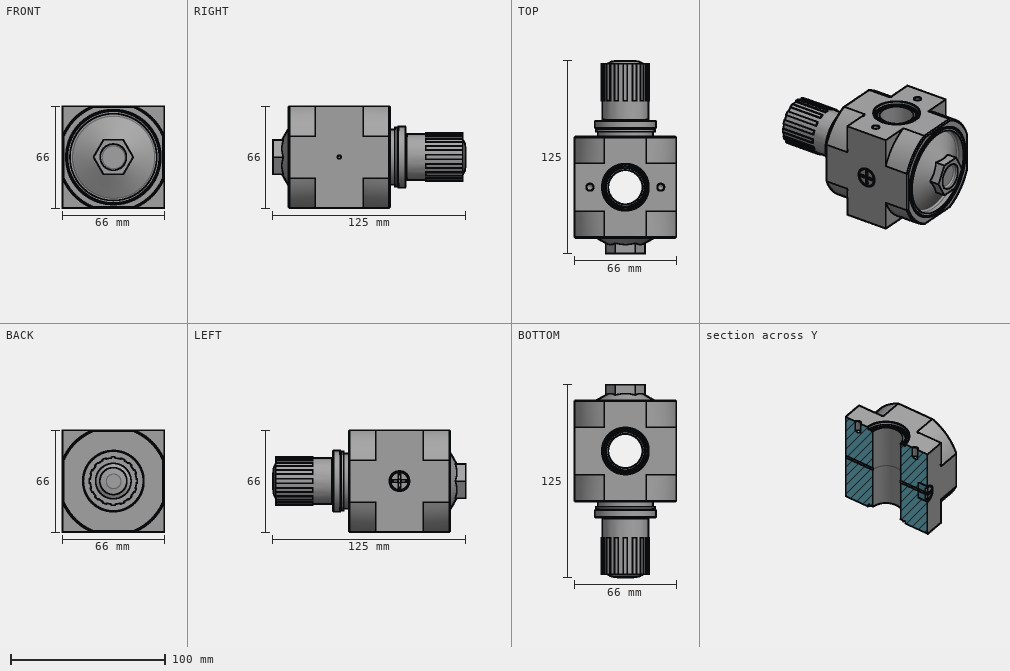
import cadquery as cq
import math


BLOCK_SIZE = 66.0
HALF_BLOCK = BLOCK_SIZE / 2
FRONT_FACE_Y = -HALF_BLOCK
FLAT_WIDTH = 27.2
CORNER_RADIUS = math.hypot(HALF_BLOCK, FLAT_WIDTH / 2)
CROSS_WIDTH = 30.9
BLOCK_CHAMFER = 0.9

DISH_MOUTH_DIA = 61.6
LIP_VALLEY_DIA = 60.6
LIP_VALLEY_DEPTH = 0.6
LIP_OUTER_DIA = 59.5
DISH_DIA = 56.2
DISH_DEPTH = 5.5
DISH_FILLET = 1.0
CONE_SLOPE = 0.57
HEX_FLATS = 22.2
HEX_END_Y = -43.0
HEX_BORE_DIA = 17.0
HEX_BORE_DEPTH = 3.1
HEX_BORE_FILLET = 1.1

BONNET_NECK_DIA = 36.0
COLLAR_DIA = 38.5
COLLAR_START_Y = 36.0
COLLAR_END_Y = 37.6
RING_DIA = 39.8
RING_START_Y = 38.4
RING_END_Y = 43.1
RING_GROOVE_DIA = 34.4
RING_CHAMFER = 0.5

PORT_MOUTH_DIA = 30.6
PORT_WALL_DIA = 30.0
PORT_VALLEY_DIA = 29.0
PORT_VALLEY_DEPTH = 2.0
PORT_CREST_DIA = 26.9
PORT_CREST_DEPTH = 1.1
PORT_SEAT_DIA = 24.9
PORT_BORE_DIA = 22.0
PORT_SEAT_DEPTH = 1.8

SCREW_HOLE_MOUTH_DIA = 4.9
SCREW_HOLE_DIA = 4.2
SCREW_HOLE_SPACING = 45.9
SCREW_HOLE_DEPTH = 7.5
DRILL_POINT_ANGLE = 118.0

SOCKET_MOUTH_DIA = 13.1
PLUG_DIA = 12.2
PLUG_FACE_DIA = 11.5
PLUG_LENGTH = 7.5
VENT_DIA = 2.0
DRIVE_LENGTH = 9.5
DRIVE_FLOOR_LENGTH = 8.0
DRIVE_WIDTH = 1.5
DRIVE_DEPTH = 1.9

KNOB_DIA = 30.0
RIB_DIA = 31.2
RIB_WIDTH = 2.8
RIB_COUNT = 16
RIB_START_Y = 56.1
RIB_END_Y = 80.0
KNOB_START_Y = 43.8
KNOB_NECK_DIA = 26.9
KNOB_DOME_DIA = 23.0
KNOB_SHOULDER_DIA = 17.5
KNOB_SHOULDER_Y = 81.5
KNOB_TOP_DIA = 9.5
OVERALL_LENGTH = 125.0
KNOB_TOP_Y = HEX_END_Y + OVERALL_LENGTH


def turned_y(profile):
    """Solid of revolution about Y from (radius, y) points."""
    return cq.Workplane("XY").polyline(profile).close().revolve(360, (0, 0, 0), (0, 1, 0))


def along_y(start, end):
    """Work plane square to Y at `start`, extruding toward `end`, with the distance between them."""
    direction = 1 if end > start else -1
    return cq.Workplane(cq.Plane((0, start, 0), (1, 0, 0), (0, direction, 0))), abs(end - start)


def block():
    """Cross-shaped cube whose four long edges are rounded towards both ends of Y."""
    rounded = (
        cq.Workplane("XZ")
        .rect(BLOCK_SIZE, BLOCK_SIZE)
        .extrude(HALF_BLOCK, both=True)
        .intersect(cq.Workplane("XZ").circle(CORNER_RADIUS).extrude(HALF_BLOCK, both=True))
        .faces("<Y or >Y")
        .chamfer(BLOCK_CHAMFER)
    )
    return rounded.union(cq.Workplane("XY").box(BLOCK_SIZE, CROSS_WIDTH, BLOCK_SIZE))


def cone_radius(y):
    """Radius of the dish's cone at a given Y."""
    corner_y = FRONT_FACE_Y + DISH_DEPTH
    return DISH_DIA / 2 - (corner_y - y) / CONE_SLOPE


def dish():
    """Ring-shaped recess between the lip and the cone, with a V groove outside the lip."""
    ring = turned_y([
        (cone_radius(FRONT_FACE_Y), FRONT_FACE_Y),
        (DISH_MOUTH_DIA / 2, FRONT_FACE_Y),
        (LIP_VALLEY_DIA / 2, FRONT_FACE_Y + LIP_VALLEY_DEPTH),
        (LIP_OUTER_DIA / 2, FRONT_FACE_Y),
        (DISH_DIA / 2, FRONT_FACE_Y),
        (DISH_DIA / 2, FRONT_FACE_Y + DISH_DEPTH),
    ])
    return ring.edges(">Y").fillet(DISH_FILLET)


def hexagon_end():
    """Tip of the cone and the hexagon that stands on it, with its round-bottomed bore."""
    tip = turned_y([
        (0, FRONT_FACE_Y),
        (cone_radius(FRONT_FACE_Y), FRONT_FACE_Y),
        (cone_radius(HEX_END_Y), HEX_END_Y),
        (0, HEX_END_Y),
    ])
    hexagon_plane, hexagon_length = along_y(FRONT_FACE_Y, HEX_END_Y)
    hexagon = hexagon_plane.polygon(6, HEX_FLATS / math.cos(math.pi / 6)).extrude(hexagon_length)
    bore_plane, bore_length = along_y(HEX_END_Y, HEX_END_Y + HEX_BORE_DEPTH)
    bore = bore_plane.circle(HEX_BORE_DIA / 2).extrude(bore_length)
    bore = bore.edges(">Y").fillet(HEX_BORE_FILLET)
    return tip.union(hexagon).cut(bore)


def bonnet():
    """Neck, collar and ring that carry the knob."""
    return turned_y([
        (0, HALF_BLOCK),
        (BONNET_NECK_DIA / 2, HALF_BLOCK),
        (BONNET_NECK_DIA / 2, COLLAR_START_Y),
        (COLLAR_DIA / 2, COLLAR_START_Y),
        (COLLAR_DIA / 2, COLLAR_END_Y),
        (RING_GROOVE_DIA / 2, COLLAR_END_Y),
        (RING_GROOVE_DIA / 2, RING_START_Y),
        (RING_DIA / 2, RING_START_Y),
        (RING_DIA / 2, RING_END_Y - RING_CHAMFER),
        (RING_DIA / 2 - RING_CHAMFER, RING_END_Y),
        (0, RING_END_Y),
    ])


def port_half():
    """Upper half of the main port, from the block centre to the top face."""
    seat_z = HALF_BLOCK - PORT_SEAT_DEPTH
    profile = [
        (0, 0),
        (PORT_BORE_DIA / 2, 0),
        (PORT_BORE_DIA / 2, seat_z),
        (PORT_SEAT_DIA / 2, seat_z),
        (PORT_CREST_DIA / 2, HALF_BLOCK - PORT_CREST_DEPTH),
        (PORT_VALLEY_DIA / 2, HALF_BLOCK - PORT_VALLEY_DEPTH),
        (PORT_WALL_DIA / 2, HALF_BLOCK - (PORT_MOUTH_DIA - PORT_WALL_DIA) / 2),
        (PORT_MOUTH_DIA / 2, HALF_BLOCK),
        (0, HALF_BLOCK),
    ]
    return cq.Workplane("XZ").polyline(profile).close().revolve(360, (0, 0, 0), (0, 1, 0))


def screw_hole(x):
    """Chamfered blind hole with a drill point, sunk from the top face."""
    radius = SCREW_HOLE_DIA / 2
    point = radius / math.tan(math.radians(DRILL_POINT_ANGLE / 2))
    bottom_z = HALF_BLOCK - SCREW_HOLE_DEPTH
    mouth_radius = SCREW_HOLE_MOUTH_DIA / 2
    profile = [
        (0, HALF_BLOCK),
        (mouth_radius, HALF_BLOCK),
        (radius, HALF_BLOCK - (mouth_radius - radius)),
        (radius, bottom_z),
        (0, bottom_z - point),
    ]
    hole = cq.Workplane("XZ").polyline(profile).close().revolve(360, (0, 0, 0), (0, 1, 0))
    return hole.translate((x, 0, 0))


def plug_socket():
    """Countersunk socket in the -X side, with the vent running on through the block."""
    mouth = (SOCKET_MOUTH_DIA - PLUG_DIA) / 2
    profile = [
        (-HALF_BLOCK, 0),
        (-HALF_BLOCK, SOCKET_MOUTH_DIA / 2),
        (-HALF_BLOCK + mouth, PLUG_DIA / 2),
        (-HALF_BLOCK + PLUG_LENGTH, PLUG_DIA / 2),
        (-HALF_BLOCK + PLUG_LENGTH, VENT_DIA / 2),
        (HALF_BLOCK, VENT_DIA / 2),
        (HALF_BLOCK, 0),
    ]
    return cq.Workplane("XY").polyline(profile).close().revolve(360, (0, 0, 0), (1, 0, 0))


def make_housing():
    upper_port = port_half()
    housing = block().cut(dish()).union(hexagon_end()).union(bonnet())
    housing = housing.cut(upper_port).cut(upper_port.mirror("XY")).cut(plug_socket())
    for side in (-1, 1):
        housing = housing.cut(screw_hole(side * SCREW_HOLE_SPACING / 2))
    return housing


def make_plug():
    """Vented screw plug with a cross drive of two slots with sloping ends."""
    face = cq.Workplane(cq.Plane((-HALF_BLOCK, 0, 0), (0, 1, 0), (1, 0, 0)))
    plug = (
        face.circle(PLUG_DIA / 2)
        .extrude(PLUG_LENGTH)
        .faces("<X")
        .chamfer((PLUG_DIA - PLUG_FACE_DIA) / 2)
        .cut(face.circle(VENT_DIA / 2).extrude(PLUG_LENGTH))
    )
    slot_profile = [
        (-HALF_BLOCK, -DRIVE_LENGTH / 2),
        (-HALF_BLOCK, DRIVE_LENGTH / 2),
        (-HALF_BLOCK + DRIVE_DEPTH, DRIVE_FLOOR_LENGTH / 2),
        (-HALF_BLOCK + DRIVE_DEPTH, -DRIVE_FLOOR_LENGTH / 2),
    ]
    slot = cq.Workplane("XY").polyline(slot_profile).close().extrude(DRIVE_WIDTH / 2, both=True)
    for angle in (0, 90):
        plug = plug.cut(slot.rotate((0, 0, 0), (1, 0, 0), angle))
    return plug


def make_knob():
    """Ribbed knob that stands on the ring through a short neck."""
    knob = turned_y([
        (0, RING_END_Y),
        (KNOB_NECK_DIA / 2, RING_END_Y),
        (KNOB_NECK_DIA / 2, KNOB_START_Y),
        (KNOB_DIA / 2, KNOB_START_Y),
        (KNOB_DIA / 2, RIB_END_Y),
        (KNOB_DOME_DIA / 2, RIB_END_Y),
        (KNOB_SHOULDER_DIA / 2, KNOB_SHOULDER_Y),
        (KNOB_TOP_DIA / 2, KNOB_TOP_Y),
        (0, KNOB_TOP_Y),
    ])
    plane, length = along_y(RIB_START_Y, RIB_END_Y)
    envelope = plane.circle(RIB_DIA / 2).extrude(length)
    bar = plane.rect(2 * RIB_DIA, RIB_WIDTH).extrude(length)
    for index in range(RIB_COUNT // 2):
        ribs = bar.rotate((0, 0, 0), (0, 1, 0), index * 360 / RIB_COUNT).intersect(envelope)
        knob = knob.union(ribs)
    return knob


housing = make_housing()
plug = make_plug()
knob = make_knob()
result = cq.Compound.makeCompound([housing.val(), plug.val(), knob.val()])